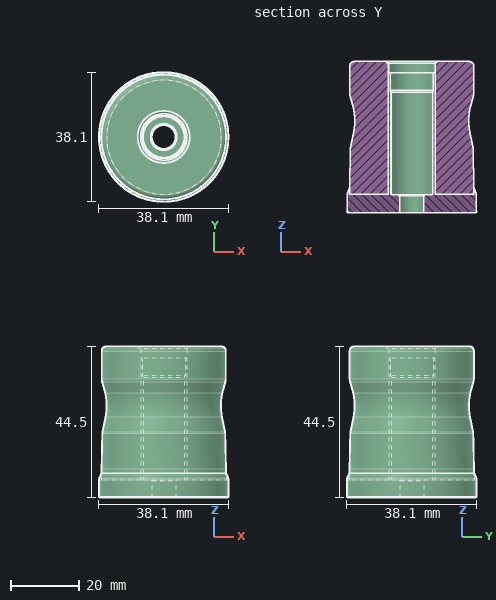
import cadquery as cq

total_height = 44.45
head_bottom_z = 34.85
upper_cone_top_z = 34.05
waist_top_z = 30.75
waist_middle_z = 27.1
waist_bottom_z = 23.7
lower_cone_bottom_z = 19.4
barrel_top_z = 18.9
barrel_middle_z = 13.8
barrel_bottom_z = 8.6
lip_top_z = 7.25
rim_z = 5.75
rim_round_bottom_z = 5.3

head_radius = 18.25
head_round = 1.45
upper_cone_radius = 18.15
waist_top_radius = 17.2
waist_radius = 16.8
waist_bottom_radius = 17.1
lower_cone_radius = 18.0
barrel_top_radius = 18.1
barrel_middle_radius = 18.2
barrel_bottom_radius = 18.3
base_diameter = 38.1
base_radius = base_diameter / 2
rim_inset = 0.1
rim_radius = base_radius - rim_inset
base_chamfer = 0.25

opening_radius = 6.8
opening_chamfer_width = 0.85
opening_chamfer_depth = 0.65

stem_top_z = total_height - 3.35
bore_radius = 6.25
bore_taper_top_z = total_height - 8.6
bore_taper_bottom_z = total_height - 9.05
lower_bore_radius = 6.05
bore_floor_z = 5.35
through_hole_radius = 3.45
through_hole_chamfer = 0.4

grip_bottom_z = rim_round_bottom_z


def revolve_about_z(profile):
    """Turn a closed radius-height profile a full turn about Z."""
    return profile.close().revolve(360, (0, 0, 0), (0, 1, 0))


def make_grip():
    """Waisted sleeve that fits over the stem and sits inside the base lip."""
    profile = (
        cq.Workplane("XZ")
        .moveTo(opening_radius, grip_bottom_z)
        .lineTo(barrel_bottom_radius, grip_bottom_z)
        .lineTo(barrel_bottom_radius, barrel_bottom_z)
        .threePointArc((barrel_middle_radius, barrel_middle_z), (barrel_top_radius, barrel_top_z))
        .lineTo(lower_cone_radius, lower_cone_bottom_z)
        .lineTo(waist_bottom_radius, waist_bottom_z)
        .threePointArc((waist_radius, waist_middle_z), (waist_top_radius, waist_top_z))
        .lineTo(upper_cone_radius, upper_cone_top_z)
        .lineTo(head_radius, head_bottom_z)
        .lineTo(head_radius, total_height - head_round)
        .tangentArcPoint((head_radius - head_round, total_height), relative=False)
        .lineTo(opening_radius + opening_chamfer_width, total_height)
        .lineTo(opening_radius, total_height - opening_chamfer_depth)
    )
    return revolve_about_z(profile)


def make_core():
    """Base cup with a sharp lip and a hollow central stem."""
    profile = (
        cq.Workplane("XZ")
        .moveTo(through_hole_radius, 0)
        .lineTo(base_radius - base_chamfer, 0)
        .lineTo(base_radius, base_chamfer)
        .lineTo(base_radius, rim_round_bottom_z)
        .lineTo(rim_radius, rim_z)
        .lineTo(barrel_bottom_radius, lip_top_z)
        .lineTo(barrel_bottom_radius, grip_bottom_z)
        .lineTo(opening_radius, grip_bottom_z)
        .lineTo(opening_radius, stem_top_z)
        .lineTo(bore_radius, stem_top_z)
        .lineTo(bore_radius, bore_taper_top_z)
        .lineTo(lower_bore_radius, bore_taper_bottom_z)
        .lineTo(lower_bore_radius, bore_floor_z)
        .lineTo(through_hole_radius + through_hole_chamfer, bore_floor_z)
        .lineTo(through_hole_radius, bore_floor_z - through_hole_chamfer)
    )
    return revolve_about_z(profile)


grip = make_grip()
core = make_core()

result = cq.Compound.makeCompound([grip.val(), core.val()])